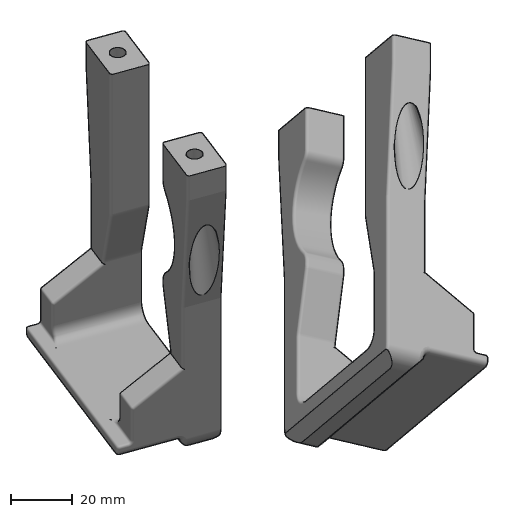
import cadquery as cq

height = 115.0
depth = 37.0
edge_round = 1.0
bend_radius = 5.0

top_outer = 40.0
base_outer = 36.0
top_inner = 20.0
base_inner = 26.0
leg_depth = 14.0
outer_bend_high = 105.0
outer_bend_low = 59.0
inner_bend_high = 57.8
inner_bend_low = 35.5

plate_top = 10.0
plate_bottom = 6.0
plate_side_round = 2.0
bar_corner_radius = 6.0
bar_chamfer = 4.0
bar_blend = plate_bottom - bar_chamfer

rib_front = 32.0
rib_slope_top = 34.6
rib_slope_bottom = 23.9

scallop_height = 80.0
scallop_radius = 22.0
scallop_apex = 29.0
scallop_x = scallop_apex - scallop_radius

hole_diameter = 5.4
hole_straight_depth = 10.0
hole_x = (top_outer + top_inner) / 2
hole_y = -leg_depth / 2
mouth_width = 10.6
mouth_length = 30.0
mouth_height = 77.5

whole_width = (-top_outer, top_outer)
left_outer_side = (-top_outer, -base_outer)
right_outer_side = (base_outer, top_outer)
left_inner_side = (-base_inner, 0)
right_inner_side = (0, scallop_apex)
whole_depth = (-depth, 0)
back_face = (0, 0)
rib_face = (-rib_front, -rib_front)
rib_to_leg = (-rib_front, -leg_depth)
front_face = (-depth, -depth)
plate_edge = (plate_bottom, plate_top)
above_plate = (plate_top, height)
selection_margin = 0.1


def edges_in(body, x_range, y_range, z_range, direction=None):
    """Edges of the body that lie wholly inside the given ranges."""
    low, high = zip(x_range, y_range, z_range)
    low = tuple(value - selection_margin for value in low)
    high = tuple(value + selection_margin for value in high)
    box = cq.selectors.BoxSelector(low, high, boundingbox=True)
    return body.edges(direction).edges(box)


def front_shape():
    """U-shaped frame seen along Y, with rounded bends and the scallop."""
    right_side = [
        (base_outer, 0),
        (base_outer, outer_bend_low),
        (top_outer, outer_bend_high),
        (top_outer, height),
        (top_inner, height),
        (top_inner, inner_bend_high),
        (base_inner, inner_bend_low),
        (base_inner, plate_top),
    ]
    left_side = [(-x, z) for x, z in reversed(right_side)]
    frame = cq.Workplane("XZ").polyline(right_side + left_side).close().extrude(depth)
    gap = cq.Workplane("XZ").rect(2 * top_inner, 2 * height).extrude(depth)
    circle = cq.Workplane("XZ").center(scallop_x, scallop_height).circle(scallop_radius)
    frame = frame.cut(circle.extrude(depth).cut(gap))
    bends = edges_in(frame, whole_width, whole_depth, (plate_top, outer_bend_high), "|Y")
    frame = bends.fillet(bend_radius)
    corners = edges_in(frame, whole_width, whole_depth, (0, 0), "|Y")
    return corners.fillet(bar_corner_radius)


def side_shape():
    """Leg, rib, plate and chamfered bar seen along X."""
    outline = [
        (-bar_chamfer, 0),
        (0, bar_chamfer),
        (0, height),
        (-leg_depth, height),
        (-leg_depth, rib_slope_top),
        (-rib_front, rib_slope_bottom),
        (-rib_front, plate_top),
        (-depth, plate_top),
        (-depth, plate_bottom),
        (-leg_depth - bar_blend, plate_bottom),
    ]
    blend_mid = bar_blend * (1 - 0.5**0.5)
    return (
        cq.Workplane("YZ")
        .polyline(outline)
        .threePointArc(
            (-leg_depth - blend_mid, plate_bottom - blend_mid), (-leg_depth, bar_chamfer)
        )
        .lineTo(bar_chamfer - leg_depth, 0)
        .close()
        .extrude(top_outer, both=True)
    )


def round_edges(body):
    """Round the free edges of the legs, ribs and plate; the leg tops stay sharp."""
    back = edges_in(body, whole_width, back_face, (plate_bottom, height)).edges("not(>Z)")
    body = back.fillet(edge_round)

    rib_corner = (rib_slope_bottom, rib_slope_bottom)
    body = edges_in(body, whole_width, rib_face, rib_corner, "|X").fillet(edge_round)
    rib_foot = (plate_top, plate_top)
    body = edges_in(body, whole_width, rib_face, rib_foot, "|X").fillet(edge_round)

    for side in (left_outer_side, right_outer_side, left_inner_side, right_inner_side):
        run = edges_in(body, side, rib_to_leg, above_plate, "not(|X)")
        body = run.edges("not(>Z)").edges("not(#Z and |Y)").fillet(edge_round)

    plate_run = (-depth, -leg_depth - bar_blend)
    underside = (plate_bottom, plate_bottom)
    body = edges_in(body, whole_width, plate_run, underside, "|Y").fillet(plate_side_round)
    front = edges_in(body, whole_width, front_face, plate_edge)
    top_sides = edges_in(body, whole_width, (-depth, -rib_front), (plate_top, plate_top), "|Y")
    return front.add(top_sides).fillet(edge_round)


def right_passage():
    """Straight hole from the leg top, then a flare to the mouth in the tapered side."""
    taper_run = top_outer - base_outer
    taper_rise = outer_bend_high - outer_bend_low
    mouth_x = base_outer + taper_run * (mouth_height - outer_bend_low) / taper_rise
    flare_top = height - hole_straight_depth
    hole_plane = cq.Plane((hole_x, hole_y, flare_top), xDir=(1, 0, 0), normal=(0, 0, 1))
    mouth_plane = cq.Plane(
        (mouth_x, hole_y, mouth_height),
        xDir=(taper_run, 0, taper_rise),
        normal=(-taper_rise, 0, taper_run),
    )
    hole = cq.Workplane(hole_plane).circle(hole_diameter / 2)
    mouth = cq.Workplane(mouth_plane).ellipse(mouth_length / 2, mouth_width / 2)
    flare = cq.Solid.makeLoft([mouth.wires().val(), hole.wires().val()], True)
    return hole.extrude(hole_straight_depth).union(cq.Workplane(flare))


body = round_edges(front_shape().intersect(side_shape()))
passage = right_passage()
result = body.cut(passage).cut(passage.mirror("YZ")).solids()